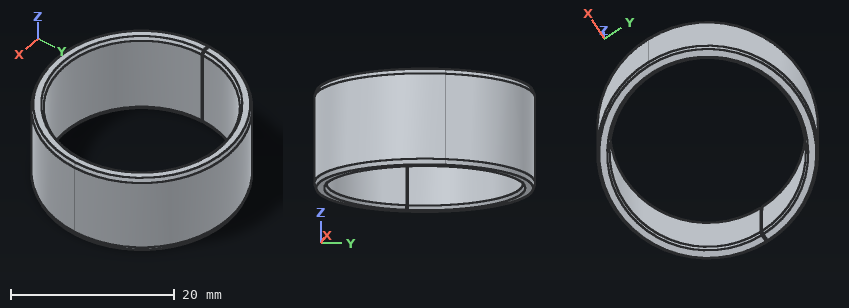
import cadquery as cq

outer_diameter = 27.0
wall = 1.5
height = 12.0
outer_chamfer_height = 0.65
outer_chamfer_depth = 0.25
inner_chamfer_height = 0.5
inner_chamfer_depth = 0.3
slit_width = 0.22

outer_radius = outer_diameter / 2
inner_radius = outer_radius - wall
half_height = height / 2

wall_section = [
    (inner_radius + inner_chamfer_depth, -half_height),
    (outer_radius - outer_chamfer_depth, -half_height),
    (outer_radius, -half_height + outer_chamfer_height),
    (outer_radius, half_height - outer_chamfer_height),
    (outer_radius - outer_chamfer_depth, half_height),
    (inner_radius + inner_chamfer_depth, half_height),
    (inner_radius, half_height - inner_chamfer_height),
    (inner_radius, -half_height + inner_chamfer_height),
]
sleeve = cq.Workplane("XZ").polyline(wall_section).close().revolve(360, (0, 0, 0), (0, 1, 0))

slit = cq.Workplane("XY").box(
    outer_radius, slit_width, height, centered=(False, False, True)
).translate((-outer_radius, 0, 0))

result = sleeve.cut(slit)